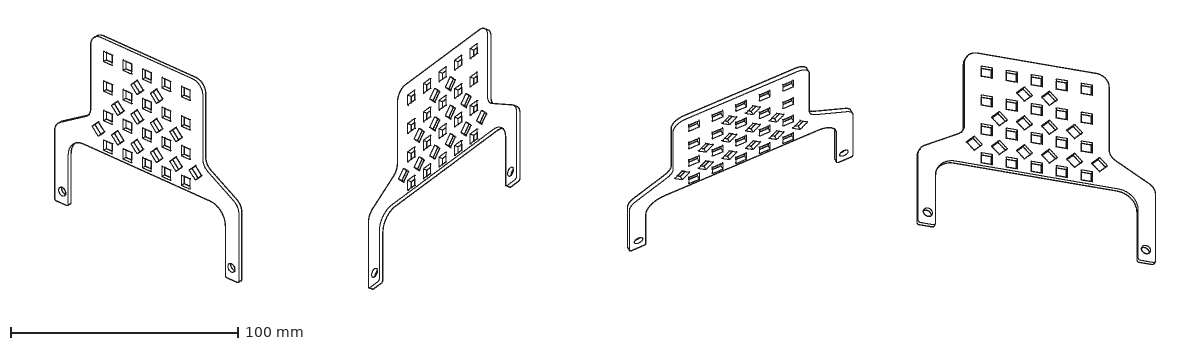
import cadquery as cq
import math

width = 110.0
height = 93.0
thickness = 2.0

panel_width = 67.0
leg_width = 8.1
leg_length = 35.0
shoulder_z = 38.7
shoulder_angle = 30.0

outer_radius = 6.0
inner_radius = 9.0
foot_radius = 1.1

hole_diameter = 4.2
hole_x = 50.5
hole_z = 6.0

window_side = 5.2
column_span = 58.0
upright_rows = [5, 5, 5, 5]
upright_bottom_z = 39.0
turned_rows = [6, 4, 2]
turned_bottom_z = 46.0
column_pitch = column_span / (max(turned_rows) - 1)
row_pitch = 15.0

cutter_length = 2 * thickness


def facing_plane(depth):
    """XZ workplane from which an extrusion of the given depth is centred on Y = 0."""
    return cq.Workplane("XZ", origin=(0, depth / 2, 0))


def round_corners(body, corners, radius):
    """Fillet the upright edges at the given (x, z) corners and their mirror images."""
    reach = 0.1
    for x, z in corners:
        for side in (-1, 1):
            corner = cq.selectors.BoxSelector(
                (side * x - reach, -thickness, z - reach),
                (side * x + reach, thickness, z + reach),
            )
            body = body.edges("|Y").edges(corner).fillet(radius)
    return body


def make_plate():
    half_width = width / 2
    half_panel = panel_width / 2
    leg_inner_x = half_width - leg_width
    shoulder_rise = (half_width - half_panel) * math.tan(math.radians(shoulder_angle))

    inner_corner = (leg_inner_x, leg_length)
    foot_corners = [(leg_inner_x, 0), (half_width, 0)]
    outer_corners = [
        (half_width, shoulder_z),
        (half_panel, shoulder_z + shoulder_rise),
        (half_panel, height),
    ]
    right_side = [inner_corner] + foot_corners + outer_corners
    left_side = [(-x, z) for x, z in reversed(right_side)]

    plate = (
        facing_plane(thickness)
        .polyline(right_side + left_side)
        .close()
        .extrude(thickness)
    )
    plate = round_corners(plate, [inner_corner], inner_radius)
    plate = round_corners(plate, foot_corners, foot_radius)
    return round_corners(plate, outer_corners, outer_radius)


def window_rows(counts, bottom_z):
    """Centres of rows of windows, each row centred on X = 0, from the bottom up."""
    centres = []
    for row, count in enumerate(counts):
        first_x = -(count - 1) * column_pitch / 2
        z = bottom_z + row * row_pitch
        centres += [(first_x + column * column_pitch, z) for column in range(count)]
    return centres


def make_windows(centres, turn):
    """Square cutters at the centres, each turned about its own axis by turn degrees."""
    window = cq.Sketch().rect(window_side, window_side, angle=turn)
    return (
        facing_plane(cutter_length)
        .pushPoints(centres)
        .placeSketch(window)
        .extrude(cutter_length)
    )


def make_leg_holes():
    return (
        facing_plane(cutter_length)
        .pushPoints([(-hole_x, hole_z), (hole_x, hole_z)])
        .circle(hole_diameter / 2)
        .extrude(cutter_length)
    )


result = (
    make_plate()
    .cut(make_windows(window_rows(upright_rows, upright_bottom_z), 0))
    .cut(make_windows(window_rows(turned_rows, turned_bottom_z), 45))
    .cut(make_leg_holes())
)